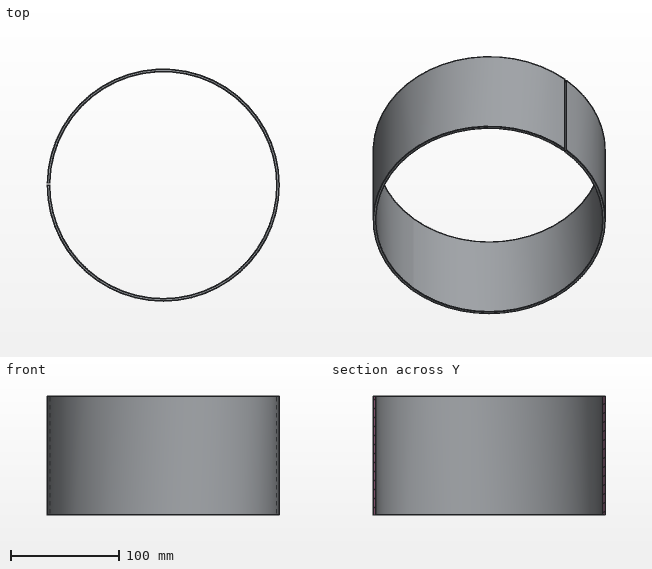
import cadquery as cq

outer_diameter = 215.0
height = 110.0
wall = 2.5
edge_chamfer = 0.5
slit_width = 2.0

outer_radius = outer_diameter / 2
inner_radius = outer_radius - wall


def make_sleeve():
    """Thin open tube with all four rim edges chamfered."""
    body = cq.Workplane("XY").circle(outer_radius).circle(inner_radius).extrude(height)
    return body.faces("<Z or >Z").edges().chamfer(edge_chamfer)


def make_slit():
    """Full-height cutter through the wall on the -X side."""
    slit = cq.Workplane("XY").box(outer_radius, slit_width, height, centered=False)
    return slit.translate((-outer_radius, 0, 0))


result = make_sleeve().cut(make_slit())